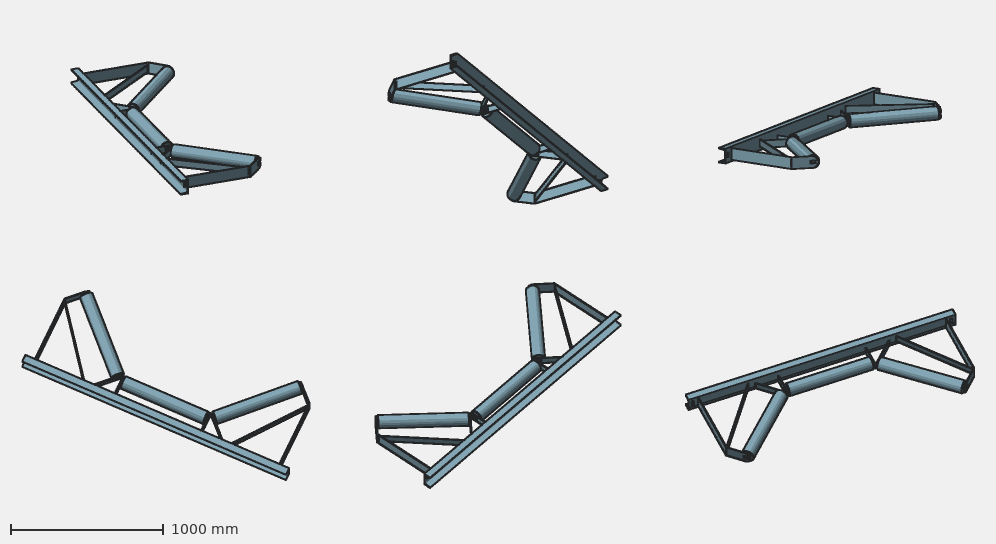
import cadquery as cq
import math


ROOT2 = math.sqrt(2)

BEAM_LENGTH = 1900
BEAM_HEIGHT = 100.0
BEAM_DEPTH = 51.0
WEB_THICKNESS = 5.0
FLANGE_TIP_THICKNESS = 8.0
FLANGE_ROOT_THICKNESS = 11.0
ROOT_RADIUS = 10.0
TIP_RADIUS = 4.0

HOLE_WIDTH = 19.0
HOLE_HEIGHT = 30.0
HOLE_BOTTOM_Z = -11.0
HOLE_X = 920.0

ROLLER_DIAMETER = 90.0
ROLLER_LENGTH = 598.0
ROLLER_CHAMFER = 4.0
SHAFT_RADIUS = 13.0
SHAFT_FLAT_WIDTH = 15.0
SHAFT_OVERHANG = 15.0
CENTRE_ROLLER_Y = 167.0
CENTRE_ROLLER_BOTTOM_Z = -65.0
WING_INNER_X = 348.0
WING_INNER_Y = 190.0
WING_ANGLE = 45

BAR_THICKNESS = 6.6
OUTER_BAR_HEIGHT = 80.0
INNER_BAR_HEIGHT = 50.0
STRUT_HEIGHT = 50.0
SLOT_WIDTH = 19.0
SLOT_CLEARANCE = 2.0

INNER_POST_X = 308.0
INNER_TOP_Y = 201.0
INNER_LEG_SUM = 530.0

OUTER_POST_X = 884.0
OUTER_ARM_SUM = 1405.0
OUTER_TIP_Y = 642.0
TIP_TAPER_LENGTH = 27.0
TIP_TAPER_HEIGHT = 17.0

STRUT_FOOT_X = 522.0

roller_drop = CENTRE_ROLLER_BOTTOM_Z + ROLLER_DIAMETER / 2
wing_tilt = math.degrees(math.asin(-roller_drop / ROLLER_LENGTH))
wing_reach = math.sqrt(ROLLER_LENGTH**2 - roller_drop**2) / ROOT2

bar_sum_step = BAR_THICKNESS * ROOT2
outer_arm_inside_sum = OUTER_ARM_SUM - bar_sum_step
inner_leg_back_sum = INNER_LEG_SUM - bar_sum_step
outer_post_inside_x = OUTER_POST_X - BAR_THICKNESS
outer_bend_inside_y = outer_arm_inside_sum - outer_post_inside_x


def make_hole_cutter(x):
    half_width = HOLE_WIDTH / 2
    top = HOLE_BOTTOM_Z + HOLE_HEIGHT
    spring_line = top - half_width
    return (
        cq.Workplane("XZ", origin=(x, BEAM_DEPTH, 0))
        .moveTo(-half_width, HOLE_BOTTOM_Z)
        .lineTo(half_width, HOLE_BOTTOM_Z)
        .lineTo(half_width, spring_line)
        .threePointArc((0, top), (-half_width, spring_line))
        .close()
        .extrude(BEAM_DEPTH)
    )


def make_beam():
    half = BEAM_HEIGHT / 2
    web_inside = BEAM_DEPTH - WEB_THICKNESS
    root_z = half - FLANGE_ROOT_THICKNESS
    tip_z = half - FLANGE_TIP_THICKNESS
    outline = [
        (0, half),
        (BEAM_DEPTH, half),
        (BEAM_DEPTH, -half),
        (0, -half),
        (0, -tip_z),
        (web_inside, -root_z),
        (web_inside, root_z),
        (0, tip_z),
    ]
    beam = (
        cq.Workplane("YZ", origin=(-BEAM_LENGTH / 2, 0, 0))
        .polyline(outline)
        .close()
        .extrude(BEAM_LENGTH)
    )
    for side in (-1, 1):
        root_edge = cq.selectors.NearestToPointSelector((0, web_inside, side * root_z))
        tip_edge = cq.selectors.NearestToPointSelector((0, 0, side * tip_z))
        beam = beam.edges(root_edge).fillet(ROOT_RADIUS)
        beam = beam.edges(tip_edge).fillet(TIP_RADIUS)
        beam = beam.cut(make_hole_cutter(side * HOLE_X))
    return beam


def make_cylinder(radius, length):
    """Cylinder along X, centred on the origin."""
    return cq.Workplane("YZ", origin=(-length / 2, 0, 0)).circle(radius).extrude(length)


def make_roller():
    """Roller along X, centred on the origin, with a flatted shaft end on each side."""
    shaft_length = ROLLER_LENGTH + 2 * SHAFT_OVERHANG
    barrel = make_cylinder(ROLLER_DIAMETER / 2, ROLLER_LENGTH).edges("%CIRCLE").chamfer(ROLLER_CHAMFER)
    shaft = make_cylinder(SHAFT_RADIUS, shaft_length)
    flats = cq.Workplane("XY").box(shaft_length, 2 * SHAFT_RADIUS, SHAFT_FLAT_WIDTH)
    return barrel.union(shaft.intersect(flats))


def make_centre_roller():
    return make_roller().translate((0, CENTRE_ROLLER_Y, roller_drop))


def make_wing_roller():
    middle = (WING_INNER_X + wing_reach / 2, WING_INNER_Y + wing_reach / 2, roller_drop / 2)
    return (
        make_roller()
        .rotate((0, 0, 0), (0, 1, 0), -wing_tilt)
        .rotate((0, 0, 0), (0, 0, 1), WING_ANGLE)
        .translate(middle)
    )


def make_bar(outline, height):
    """Flat bar with the given outline in XY, centred on Z = 0."""
    return cq.Workplane("XY", origin=(0, 0, -height / 2)).polyline(outline).close().extrude(height)


def make_slot_cutter(x_start, length, bottom_y):
    """Slot through a bar along X, open towards +Y."""
    open_depth = OUTER_TIP_Y
    return (
        cq.Workplane("XY")
        .box(length, open_depth, SLOT_WIDTH, centered=(False, False, True))
        .translate((x_start, bottom_y, 0))
    )


def wing_slot_bottom(face_sum):
    """Y just below the wing roller shaft where its axis crosses the plane X + Y = face_sum."""
    axis_y = (face_sum - WING_INNER_X + WING_INNER_Y) / 2
    return axis_y - (SHAFT_RADIUS + SLOT_CLEARANCE) / ROOT2


def make_inner_bracket():
    post_back_x = INNER_POST_X + BAR_THICKNESS
    bridge_under_y = INNER_TOP_Y - BAR_THICKNESS
    leg_foot_x = INNER_LEG_SUM - BEAM_DEPTH
    outline = [
        (INNER_POST_X, BEAM_DEPTH),
        (INNER_POST_X, INNER_TOP_Y),
        (INNER_LEG_SUM - INNER_TOP_Y, INNER_TOP_Y),
        (leg_foot_x, BEAM_DEPTH),
        (leg_foot_x - bar_sum_step, BEAM_DEPTH),
        (inner_leg_back_sum - bridge_under_y, bridge_under_y),
        (post_back_x, bridge_under_y),
        (post_back_x, BEAM_DEPTH),
    ]
    post_slot_bottom = CENTRE_ROLLER_Y - SHAFT_RADIUS - SLOT_CLEARANCE
    post_slot = make_slot_cutter(INNER_POST_X, BAR_THICKNESS, post_slot_bottom)
    leg_slot = make_slot_cutter(
        post_back_x, leg_foot_x - post_back_x, wing_slot_bottom(inner_leg_back_sum)
    )
    bar = make_bar(outline, INNER_BAR_HEIGHT)
    return bar.cut(post_slot).cut(leg_slot).translate((0, 0, roller_drop))


def make_tip_taper_cutter(side):
    """Wedge that tapers the upper (side = 1) or lower (side = -1) edge of an outer arm's tip."""
    edge_z = side * OUTER_BAR_HEIGHT / 2
    wedge = [
        (OUTER_TIP_Y - TIP_TAPER_LENGTH / ROOT2, edge_z),
        (OUTER_TIP_Y, edge_z),
        (OUTER_TIP_Y, edge_z - side * TIP_TAPER_HEIGHT),
    ]
    return cq.Workplane("YZ").polyline(wedge).close().extrude(OUTER_POST_X)


def make_outer_bracket():
    tip_x = OUTER_ARM_SUM - OUTER_TIP_Y
    tip_step = BAR_THICKNESS / ROOT2
    outline = [
        (OUTER_POST_X, BEAM_DEPTH),
        (OUTER_POST_X, OUTER_ARM_SUM - OUTER_POST_X),
        (tip_x, OUTER_TIP_Y),
        (tip_x - tip_step, OUTER_TIP_Y - tip_step),
        (outer_post_inside_x, outer_bend_inside_y),
        (outer_post_inside_x, BEAM_DEPTH),
    ]
    bracket = make_bar(outline, OUTER_BAR_HEIGHT)
    for side in (-1, 1):
        bracket = bracket.cut(make_tip_taper_cutter(side))
    return bracket.cut(make_slot_cutter(0, OUTER_POST_X, wing_slot_bottom(outer_arm_inside_sum)))


def make_strut():
    """Flat bar from the bend of the outer bracket down to the beam web."""
    slope = math.atan2(outer_bend_inside_y - BEAM_DEPTH, outer_post_inside_x - STRUT_FOOT_X)
    outline = [
        (outer_post_inside_x, outer_bend_inside_y),
        (STRUT_FOOT_X, BEAM_DEPTH),
        (STRUT_FOOT_X + BAR_THICKNESS / math.sin(slope), BEAM_DEPTH),
        (outer_post_inside_x, outer_bend_inside_y - BAR_THICKNESS / math.cos(slope)),
    ]
    return make_bar(outline, STRUT_HEIGHT)


def make_pair(make_body):
    """The solid built by `make_body` at +X and its mirror image at -X."""
    body = make_body()
    return [body.val(), body.mirror("YZ").val()]


beam = make_beam()
centre_roller = make_centre_roller()
wing_rollers = make_pair(make_wing_roller)
inner_brackets = make_pair(make_inner_bracket)
outer_brackets = make_pair(make_outer_bracket)
struts = make_pair(make_strut)

result = cq.Compound.makeCompound(
    [
        beam.val(),
        centre_roller.val(),
        *wing_rollers,
        *inner_brackets,
        *outer_brackets,
        *struts,
    ]
)